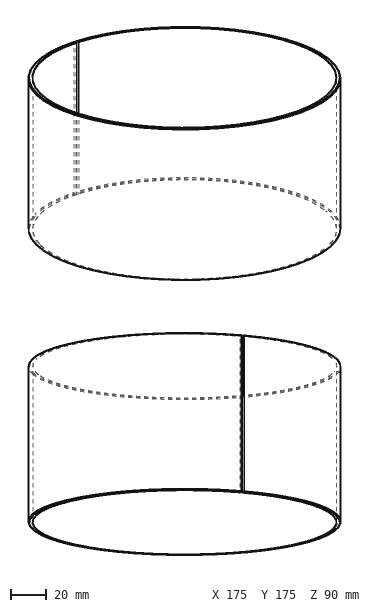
import cadquery as cq

outer_diameter = 175.0
wall = 2.5
height = 90.0
outer_chamfer = 0.5
inner_chamfer = 0.2
gap_angle = 1.0

outer_radius = outer_diameter / 2
inner_radius = outer_radius - wall


def wall_section():
    """Wall cross-section on the -X side, with all four corners chamfered."""
    return (
        cq.Workplane("XZ")
        .moveTo(-inner_radius - inner_chamfer, 0)
        .lineTo(-outer_radius + outer_chamfer, 0)
        .lineTo(-outer_radius, outer_chamfer)
        .lineTo(-outer_radius, height - outer_chamfer)
        .lineTo(-outer_radius + outer_chamfer, height)
        .lineTo(-inner_radius - inner_chamfer, height)
        .lineTo(-inner_radius, height - inner_chamfer)
        .lineTo(-inner_radius, inner_chamfer)
        .close()
    )


result = wall_section().revolve(360 - gap_angle, (0, 0, 0), (0, 1, 0))